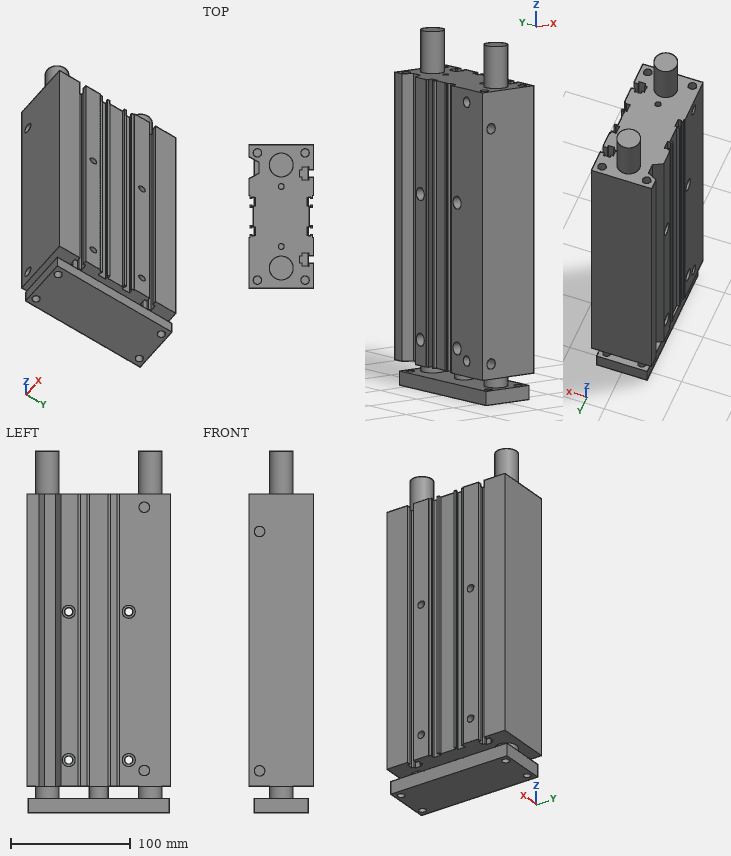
import cadquery as cq


total_height = 302.0
body_width = 54.0
body_length = 120.0
plate_width = 45.3
plate_length = 118.0
plate_thickness = 12.0
plate_gap = 10.0
body_height = 244.3

half_width = body_width / 2
half_length = body_length / 2
body_bottom = plate_thickness + plate_gap
body_top = body_bottom + body_height

guide_rod_diameter = 20.0
guide_rod_spacing = 86.0
guide_rod_offset = guide_rod_spacing / 2
piston_rod_diameter = 16.0
piston_rod_insertion = 60.5

plate_hole_diameter = 6.5
plate_hole_x = 15.7
plate_hole_y = 53.2

end_hole_diameter = 7.0
end_hole_x = 20.0
end_hole_y = 53.2
end_hole_depth = 18.0
plug_hole_diameter = 4.8
plug_hole_y = 25.0
plug_hole_depth = 9.0

mount_hole_diameter = 6.5
mount_bore_diameter = 11.0
mount_bore_depth = 12.0
mount_hole_y = 25.0
mount_hole_heights = (44.0, 168.0)

port_diameter = 8.8
port_depth = 12.0
side_port_y = -38.0
side_port_heights = (35.3, 255.2)
end_port_x = -18.0
end_port_heights = (35.0, 235.0)

relief_half_length = 17.5
relief_depth = 1.0
centre_recess_half_length = 7.5
centre_recess_depth = 3.5
sensor_groove_y = 12.5
sensor_mouth_width = 5.5
sensor_pocket_width = 7.2
sensor_lip_depth = 2.5
sensor_groove_depth = 5.5

t_slot_y = 36.0
t_slot_neck_width = 6.0
t_slot_head_width = 11.0
t_slot_lip_depth = 4.0
t_slot_head_depth = 9.7
t_slot_total_depth = 11.8

channel_y = 40.8
channel_mouth_half = 9.0
channel_floor_half = 4.5
channel_depth = 8.5


def face_slot(side, y_centre, width, depth_from, depth_to):
    """Full-height rectangular cut in a wide face; side is -1 or +1 along X."""
    x_centre = side * (half_width - (depth_from + depth_to) / 2)
    return (
        cq.Workplane("XY", origin=(x_centre, y_centre, body_bottom))
        .rect(depth_to - depth_from, width)
        .extrude(body_height)
    )


def tapered_channel():
    """Full-height channel that narrows towards its floor."""
    floor_x = -half_width + channel_depth
    return (
        cq.Workplane("XY", origin=(0, 0, body_bottom))
        .polyline([
            (-half_width, channel_y - channel_mouth_half),
            (floor_x, channel_y - channel_floor_half),
            (floor_x, channel_y + channel_floor_half),
            (-half_width, channel_y + channel_mouth_half),
        ])
        .close()
        .extrude(body_height)
    )


def rod(diameter, y, bottom, top):
    """Vertical cylinder on the X = 0 plane."""
    return cq.Workplane("XY", origin=(0, y, bottom)).circle(diameter / 2).extrude(top - bottom)


def guide_rod(y):
    return rod(guide_rod_diameter, y, plate_thickness, total_height)


def piston_rod():
    return rod(piston_rod_diameter, 0, plate_thickness, body_bottom + piston_rod_insertion)


def hole_along_x(diameter, depth, points):
    """Holes drilled from the -X face; each point is (y, z)."""
    return (
        cq.Workplane("YZ", origin=(-half_width, 0, 0))
        .pushPoints(points)
        .circle(diameter / 2)
        .extrude(depth)
    )


def hole_from_top(diameter, depth, points):
    """Blind holes drilled down from the housing top; each point is (x, y)."""
    return (
        cq.Workplane("XY", origin=(0, 0, body_top))
        .pushPoints(points)
        .circle(diameter / 2)
        .extrude(-depth)
    )


def end_ports():
    """Ports drilled from the -Y face."""
    return (
        cq.Workplane("XZ", origin=(0, -half_length, 0))
        .pushPoints([(end_port_x, z) for z in end_port_heights])
        .circle(port_diameter / 2)
        .extrude(-port_depth)
    )


def corners(x, y):
    return [(sx * x, sy * y) for sx in (-1, 1) for sy in (-1, 1)]


def make_housing():
    body = (
        cq.Workplane("XY", origin=(0, 0, body_bottom))
        .rect(body_width, body_length)
        .extrude(body_height)
    )

    for side in (-1, 1):
        body = body.cut(face_slot(side, 0, 2 * relief_half_length, 0, relief_depth))
        body = body.cut(face_slot(side, 0, 2 * centre_recess_half_length, 0, centre_recess_depth))
        for y in (-sensor_groove_y, sensor_groove_y):
            body = body.cut(face_slot(side, y, sensor_mouth_width, 0, sensor_groove_depth))
            body = body.cut(face_slot(side, y, sensor_pocket_width, sensor_lip_depth, sensor_groove_depth))

    for y in (-t_slot_y, t_slot_y):
        body = body.cut(face_slot(1, y, t_slot_neck_width, 0, t_slot_total_depth))
        body = body.cut(face_slot(1, y, t_slot_head_width, t_slot_lip_depth, t_slot_head_depth))
    body = body.cut(tapered_channel())

    for y in (-guide_rod_offset, guide_rod_offset):
        body = body.cut(guide_rod(y))
    body = body.cut(piston_rod())

    mount_points = [(y, z) for y in (-mount_hole_y, mount_hole_y) for z in mount_hole_heights]
    body = body.cut(hole_along_x(mount_hole_diameter, body_width, mount_points))
    body = body.cut(hole_along_x(mount_bore_diameter, mount_bore_depth, mount_points))

    side_port_points = [(side_port_y, z) for z in side_port_heights]
    body = body.cut(hole_along_x(port_diameter, port_depth, side_port_points))
    body = body.cut(end_ports())

    body = body.cut(hole_from_top(end_hole_diameter, end_hole_depth, corners(end_hole_x, end_hole_y)))
    plug_points = [(0, -plug_hole_y), (0, plug_hole_y)]
    return body.cut(hole_from_top(plug_hole_diameter, plug_hole_depth, plug_points))


def make_slide():
    """Tool plate joined to the guide rods and the piston rod."""
    plate = cq.Workplane("XY").rect(plate_width, plate_length).extrude(plate_thickness)
    plate_holes = (
        cq.Workplane("XY")
        .pushPoints(corners(plate_hole_x, plate_hole_y))
        .circle(plate_hole_diameter / 2)
        .extrude(plate_thickness)
    )
    slide = plate.cut(plate_holes).union(piston_rod())
    for y in (-guide_rod_offset, guide_rod_offset):
        slide = slide.union(guide_rod(y))
    return slide


housing = make_housing()
slide = make_slide()

result = cq.Compound.makeCompound([housing.val(), slide.val()])